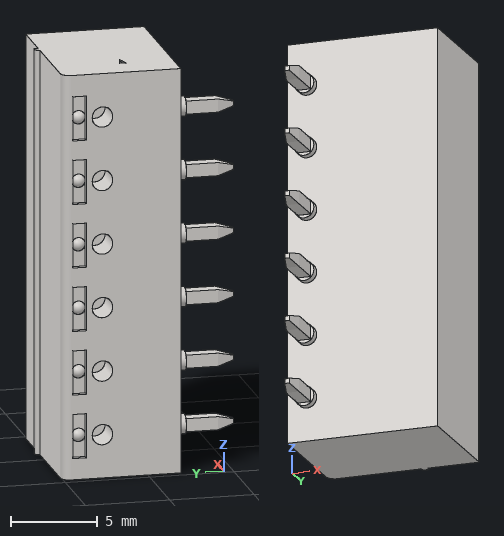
import cadquery as cq

width = 9.25
depth = 7.03
height = 24.25
back_left_radius = 0.53
back_right_radius = 0.12

terminal_count = 6
pitch = 3.8
first_z = (height - (terminal_count - 1) * pitch) / 2
terminal_heights = [first_z + i * pitch for i in range(terminal_count)]

pin_x = 1.21
collar_diameter = 1.2
collar_length = 0.48
shank_side = 0.8
shank_length = 1.92
tip_length = 0.97
tip_side = 0.3

slot_width = 0.8
slot_height = 2.65
slot_depth = 0.3
slot_inset = 1.02
slot_y = depth - slot_inset
ball_diameter = 0.8
ball_overhang = 0.07

hole_diameter = 1.21
hole_depth = 1.95
hole_inset = 2.38
hole_y = depth - hole_inset

rib_left = 5.65
rib_width = 0.41
rib_projection = 0.25
rib_radius = 0.2
rib_root = 0.25

mark_left = 1.92
mark_length = 0.73
mark_width = 0.4
mark_y = 3.0
mark_depth = 0.1


def housing():
    """Block with rounded back corners."""
    block = cq.Workplane("XY").box(width, depth, height, centered=False)
    block = block.edges("|Z and >Y and <X").fillet(back_left_radius)
    return block.edges("|Z and >Y and >X").fillet(back_right_radius)


def rib():
    """Back rib with one rounded corner, rooted inside the housing."""
    strip = cq.Workplane("XY").box(rib_width, rib_root + rib_projection, height, centered=False)
    strip = strip.edges("|Z and >Y and <X").fillet(rib_radius)
    return strip.translate((rib_left, depth - rib_root, 0))


def top_mark():
    """Triangular cutter for the top face."""
    return (
        cq.Workplane("XY", origin=(mark_left, mark_y, height))
        .moveTo(0, -mark_width / 2)
        .lineTo(mark_length, 0)
        .lineTo(0, mark_width / 2)
        .close()
        .extrude(-mark_depth)
    )


def pin(z):
    """Pin growing out of the front face at height z."""
    front = cq.Workplane("XZ", origin=(pin_x, 0, z))
    collar = front.circle(collar_diameter / 2).extrude(collar_length)
    shank = front.workplane(offset=collar_length).rect(shank_side, shank_side).extrude(shank_length)
    tip = (
        front.workplane(offset=collar_length + shank_length)
        .rect(shank_side, shank_side)
        .workplane(offset=tip_length)
        .rect(tip_side, tip_side)
        .loft()
    )
    return collar.union(shank).union(tip)


def slot(z):
    """Slot cutter for the left face at height z."""
    cutter = cq.Workplane("XY").box(slot_depth, slot_width, slot_height)
    return cutter.translate((slot_depth / 2, slot_y, z))


def ball(z):
    """Ball set into the floor of the slot at height z."""
    ball_x = ball_diameter / 2 - ball_overhang
    return cq.Workplane("XY").sphere(ball_diameter / 2).translate((ball_x, slot_y, z))


def wire_hole(z):
    """Hole cutter for the left face at height z."""
    return cq.Workplane("YZ", origin=(0, hole_y, z)).circle(hole_diameter / 2).extrude(hole_depth)


result = housing().union(rib()).cut(top_mark())
for terminal_z in terminal_heights:
    result = result.cut(slot(terminal_z)).cut(wire_hole(terminal_z))
    result = result.union(ball(terminal_z)).union(pin(terminal_z))